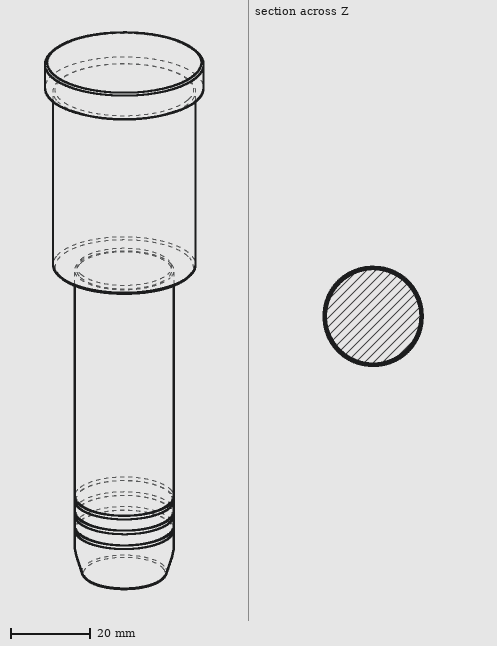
import cadquery as cq

total_length = 140
head_height = 7
body_bottom = 84
nose_height = 7

head_radius = 40.0 / 2
body_radius = 36.0 / 2
shaft_radius = 25.0 / 2
tip_radius = 21.4 / 2

head_chamfer = 0.5
body_chamfer = 0.5
tip_chamfer = 0.4
nose_bulge = 0.1
relief_height = 1.0
relief_depth = 0.5
groove_radius = 0.49
groove_count = 3
groove_pitch = 4.0
lowest_groove = 12.5


def cylinder(radius, bottom, top):
    """Solid cylinder about Z between two heights."""
    return cq.Workplane("XY").workplane(offset=bottom).circle(radius).extrude(top - bottom)


def round_groove(radius, middle):
    """Cutter for a half-round groove centred on a cylinder surface."""
    return (
        cq.Workplane("XZ")
        .center(radius, middle)
        .circle(groove_radius)
        .revolve(360, (-radius, 0, 0), (-radius, 1, 0))
    )


head_bottom = total_length - head_height
head = cylinder(head_radius, head_bottom, total_length).faces(">Z").chamfer(head_chamfer)
body = cylinder(body_radius, body_bottom, head_bottom).faces("<Z").chamfer(body_chamfer)

nose_middle_radius = (shaft_radius + tip_radius) / 2 + nose_bulge
shaft = (
    cq.Workplane("XZ")
    .lineTo(tip_radius - tip_chamfer, 0)
    .lineTo(tip_radius, tip_chamfer)
    .threePointArc((nose_middle_radius, nose_height / 2), (shaft_radius, nose_height))
    .lineTo(shaft_radius, body_bottom)
    .lineTo(0, body_bottom)
    .close()
    .revolve(360, (0, 0, 0), (0, 1, 0))
)

body = body.cut(round_groove(body_radius, head_bottom - groove_radius))

relief_bottom = body_bottom - relief_height
relief_core = cylinder(shaft_radius - relief_depth, relief_bottom, body_bottom)
shaft = shaft.cut(cylinder(shaft_radius, relief_bottom, body_bottom).cut(relief_core))

for index in range(groove_count):
    shaft = shaft.cut(round_groove(shaft_radius, lowest_groove + index * groove_pitch))

result = head.union(body).union(shaft)